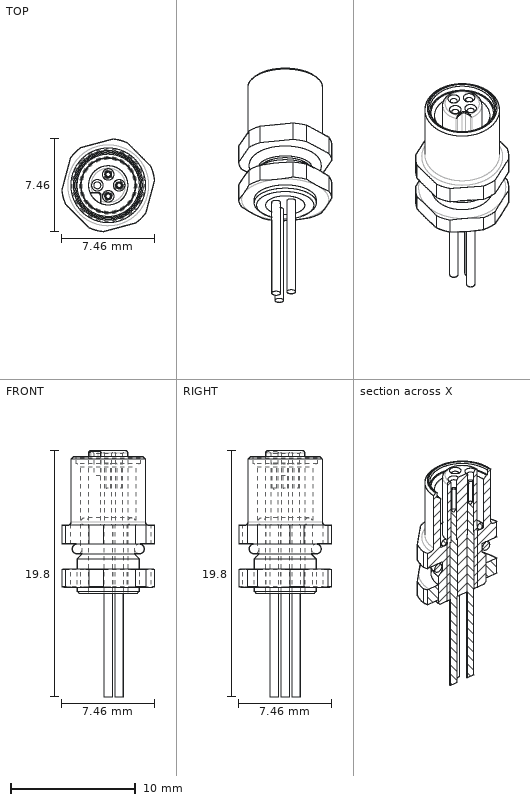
import cadquery as cq
import math


HEX_ACROSS_FLATS = 7.0
HEX_CORNER_DIAMETER = 7.5
HEX_ROTATION = 15.0
FLANGE_HEIGHT = 1.5
NUT_HEIGHT = 1.5
NUT_TOP_Z = -2.0
NUT_CHAMFER_ANGLE = 15.0

SHELL_RADIUS = 3.0
SHELL_TOP_Z = 7.0
SHELL_CHAMFER = 0.2
FLANGE_FILLET = 0.25
STUD_RADIUS = 2.5
STUD_BOTTOM_Z = -4.0
STUD_CHAMFER = 0.2

COUNTERBORE_RADIUS = 2.6
COUNTERBORE_CHAMFER = 0.1
COUNTERBORE_FLOOR_Z = 6.45
LEAD_IN_RADIUS = 2.5
BORE_RADIUS = 2.22
BORE_FLOOR_Z = FLANGE_HEIGHT

PANEL_SEAL_WIRE_RADIUS = 0.4
NECK_RADIUS = 2.1

FACE_SEAL_WIRE_RADIUS = 0.3

CARRIER_RADIUS = 1.575
CARRIER_TOP_Z = 7.5
CARRIER_TOP_FILLET = 0.2
KEYWAY_OFFSET = 0.63
KEYWAY_CORNER_RADIUS = 0.2
KEYWAY_EDGE_RADIUS = 0.1
KEYWAY_CHAMFER = 0.07

CONTACT_CIRCLE_RADIUS = 0.875
CONTACT_ANGLES = (-90.0, 0.0, 90.0)
BLIND_HOLE_ANGLE = 180.0
HOLE_RADIUS = 0.28
HOLE_MOUTH_RADIUS = 0.46
HOLE_MOUTH_DEPTH = 0.25
BLIND_HOLE_DEPTH = 2.0
SOCKET_RECESS = 1.0
SOCKET_TOP_Z = CARRIER_TOP_Z - SOCKET_RECESS
SOCKET_BORE_RADIUS = 0.18
SOCKET_BORE_DEPTH = 2.0
SOCKET_MOUTH_RADIUS = 0.26
TAIL_RADIUS = 0.35
TAIL_TOP_Z = BORE_FLOOR_Z
TAIL_BOTTOM_Z = -12.3


def cylinder(radius, bottom_z, top_z):
    return cq.Workplane("XY", origin=(0, 0, bottom_z)).circle(radius).extrude(top_z - bottom_z)


def hex_plate(bottom_z, height):
    """Hexagonal plate whose corners are turned to HEX_CORNER_DIAMETER."""
    sharp_diameter = HEX_ACROSS_FLATS / math.cos(math.radians(30))
    hexagon = (
        cq.Workplane("XY", origin=(0, 0, bottom_z))
        .polygon(6, sharp_diameter)
        .extrude(height)
        .rotate((0, 0, 0), (0, 0, 1), HEX_ROTATION)
    )
    return hexagon.intersect(cylinder(HEX_CORNER_DIAMETER / 2, bottom_z, bottom_z + height))


def ring(centre_radius, wire_radius, z):
    """O-ring around the Z axis with its middle plane at z."""
    return (
        cq.Workplane("XZ")
        .center(centre_radius, z)
        .circle(wire_radius)
        .revolve(360, (-centre_radius, 0), (-centre_radius, 1))
    )


def at_contact(body, angle):
    """Moves a body from the Z axis to the contact circle."""
    return body.translate((CONTACT_CIRCLE_RADIUS, 0, 0)).rotate((0, 0, 0), (0, 0, 1), angle)


def make_housing():
    neck_bottom_z = -2 * PANEL_SEAL_WIRE_RADIUS
    stud_top_z = neck_bottom_z - (STUD_RADIUS - NECK_RADIUS)
    fillet_arc_offset = FLANGE_FILLET * (1 - math.sqrt(0.5))
    turned = (
        cq.Workplane("XZ")
        .moveTo(CARRIER_RADIUS, STUD_BOTTOM_Z)
        .lineTo(STUD_RADIUS - STUD_CHAMFER, STUD_BOTTOM_Z)
        .lineTo(STUD_RADIUS, STUD_BOTTOM_Z + STUD_CHAMFER)
        .lineTo(STUD_RADIUS, stud_top_z)
        .lineTo(NECK_RADIUS, neck_bottom_z)
        .lineTo(NECK_RADIUS, 0)
        .lineTo(SHELL_RADIUS + FLANGE_FILLET, 0)
        .lineTo(SHELL_RADIUS + FLANGE_FILLET, FLANGE_HEIGHT)
        .threePointArc(
            (SHELL_RADIUS + fillet_arc_offset, FLANGE_HEIGHT + fillet_arc_offset),
            (SHELL_RADIUS, FLANGE_HEIGHT + FLANGE_FILLET),
        )
        .lineTo(SHELL_RADIUS, SHELL_TOP_Z - SHELL_CHAMFER)
        .lineTo(SHELL_RADIUS - SHELL_CHAMFER, SHELL_TOP_Z)
        .lineTo(COUNTERBORE_RADIUS + COUNTERBORE_CHAMFER, SHELL_TOP_Z)
        .lineTo(COUNTERBORE_RADIUS, SHELL_TOP_Z - COUNTERBORE_CHAMFER)
        .lineTo(COUNTERBORE_RADIUS, COUNTERBORE_FLOOR_Z)
        .lineTo(LEAD_IN_RADIUS, COUNTERBORE_FLOOR_Z)
        .lineTo(BORE_RADIUS, COUNTERBORE_FLOOR_Z - (LEAD_IN_RADIUS - BORE_RADIUS))
        .lineTo(BORE_RADIUS, BORE_FLOOR_Z)
        .lineTo(CARRIER_RADIUS, BORE_FLOOR_Z)
        .close()
        .revolve(360, (0, 0), (0, 1))
    )
    flange = hex_plate(0, FLANGE_HEIGHT).cut(cylinder(SHELL_RADIUS, 0, FLANGE_HEIGHT))
    return turned.union(flange)


def make_nut():
    bottom_z = NUT_TOP_Z - NUT_HEIGHT
    flat_radius = HEX_ACROSS_FLATS / 2
    corner_radius = HEX_CORNER_DIAMETER / 2
    chamfer_drop = (corner_radius - flat_radius) * math.tan(math.radians(NUT_CHAMFER_ANGLE))
    chamfered_blank = (
        cq.Workplane("XZ")
        .moveTo(STUD_RADIUS, bottom_z)
        .lineTo(flat_radius, bottom_z)
        .lineTo(corner_radius, bottom_z + chamfer_drop)
        .lineTo(corner_radius, NUT_TOP_Z - chamfer_drop)
        .lineTo(flat_radius, NUT_TOP_Z)
        .lineTo(STUD_RADIUS, NUT_TOP_Z)
        .close()
        .revolve(360, (0, 0), (0, 1))
    )
    return hex_plate(bottom_z, NUT_HEIGHT).intersect(chamfered_blank)


def make_panel_seal():
    return ring(NECK_RADIUS + PANEL_SEAL_WIRE_RADIUS, PANEL_SEAL_WIRE_RADIUS, -PANEL_SEAL_WIRE_RADIUS)


def make_face_seal():
    """O-ring around the carrier, resting on the bore floor."""
    centre_radius = CARRIER_RADIUS + FACE_SEAL_WIRE_RADIUS
    return ring(centre_radius, FACE_SEAL_WIRE_RADIUS, BORE_FLOOR_Z + FACE_SEAL_WIRE_RADIUS)


def keyway_corner(offset, corner_radius, z):
    """Rounded square in the -X -Y quadrant, its walls at the given offset from both axes."""
    size = 2 * CARRIER_RADIUS
    middle = -offset - size / 2
    outline = cq.Sketch().rect(size, size).vertices().fillet(corner_radius)
    return cq.Workplane("XY", origin=(middle, middle, z)).placeSketch(outline)


def make_carrier_blank():
    keyway = (
        keyway_corner(KEYWAY_OFFSET, KEYWAY_CORNER_RADIUS, BORE_FLOOR_Z)
        .extrude(CARRIER_TOP_Z - BORE_FLOOR_Z)
    )
    keyed_length = cylinder(CARRIER_RADIUS, BORE_FLOOR_Z, CARRIER_TOP_Z).cut(keyway)
    edge_reach = math.sqrt(CARRIER_RADIUS**2 - KEYWAY_OFFSET**2)
    edge_z = (BORE_FLOOR_Z + CARRIER_TOP_Z) / 2
    for x, y in ((-edge_reach, -KEYWAY_OFFSET), (-KEYWAY_OFFSET, -edge_reach)):
        keyed_length = (
            keyed_length
            .edges(cq.selectors.NearestToPointSelector((x, y, edge_z)))
            .fillet(KEYWAY_EDGE_RADIUS)
        )
    rounded_envelope = (
        cylinder(CARRIER_RADIUS, STUD_BOTTOM_Z, CARRIER_TOP_Z)
        .faces(">Z")
        .edges()
        .fillet(CARRIER_TOP_FILLET)
    )
    keyway_flare = (
        keyway_corner(
            KEYWAY_OFFSET - KEYWAY_CHAMFER, KEYWAY_CORNER_RADIUS + KEYWAY_CHAMFER, CARRIER_TOP_Z
        )
        .extrude(-KEYWAY_CHAMFER, taper=45)
    )
    return (
        cylinder(CARRIER_RADIUS, STUD_BOTTOM_Z, BORE_FLOOR_Z)
        .union(keyed_length)
        .intersect(rounded_envelope)
        .cut(keyway_flare)
    )


def funnel(bottom_radius, top_radius, depth, top_z):
    """Conical cutter that narrows downwards from top_z."""
    cone = cq.Solid.makeCone(bottom_radius, top_radius, depth, pnt=(0, 0, top_z - depth))
    return cq.Workplane(cone)


def make_carrier():
    carrier = make_carrier_blank()
    mouth = funnel(HOLE_RADIUS, HOLE_MOUTH_RADIUS, HOLE_MOUTH_DEPTH, CARRIER_TOP_Z)
    through_hole = (
        cylinder(TAIL_RADIUS, STUD_BOTTOM_Z, TAIL_TOP_Z)
        .union(cylinder(HOLE_RADIUS, TAIL_TOP_Z, CARRIER_TOP_Z))
        .union(mouth)
    )
    blind_hole = cylinder(HOLE_RADIUS, CARRIER_TOP_Z - BLIND_HOLE_DEPTH, CARRIER_TOP_Z).union(mouth)
    for angle in CONTACT_ANGLES:
        carrier = carrier.cut(at_contact(through_hole, angle))
    return carrier.cut(at_contact(blind_hole, BLIND_HOLE_ANGLE))


def make_contact(angle):
    """Drilled and countersunk socket on top of a thicker straight tail."""
    bore_bottom_z = SOCKET_TOP_Z - SOCKET_BORE_DEPTH
    mouth_depth = SOCKET_MOUTH_RADIUS - SOCKET_BORE_RADIUS
    contact = (
        cylinder(TAIL_RADIUS, TAIL_BOTTOM_Z, TAIL_TOP_Z)
        .union(cylinder(HOLE_RADIUS, TAIL_TOP_Z, SOCKET_TOP_Z))
        .cut(cylinder(SOCKET_BORE_RADIUS, bore_bottom_z, SOCKET_TOP_Z))
        .cut(funnel(0, SOCKET_BORE_RADIUS, SOCKET_BORE_RADIUS, bore_bottom_z))
        .cut(funnel(SOCKET_BORE_RADIUS, SOCKET_MOUTH_RADIUS, mouth_depth, SOCKET_TOP_Z))
    )
    return at_contact(contact, angle)


housing = make_housing()
nut = make_nut()
panel_seal = make_panel_seal()
face_seal = make_face_seal()
carrier = make_carrier()
contacts = [make_contact(angle) for angle in CONTACT_ANGLES]

result = cq.Compound.makeCompound([
    housing.val(),
    nut.val(),
    panel_seal.val(),
    face_seal.val(),
    carrier.val(),
    *[contact.val() for contact in contacts],
])